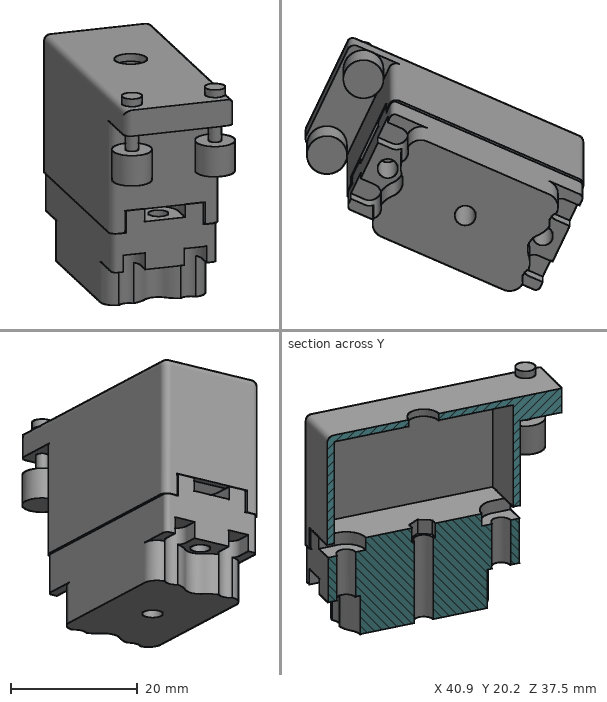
import cadquery as cq
import math


plug_height = 6.8
shoulder_z = 13.3
notch_height = 3.68
insert_top_z = shoulder_z + notch_height
total_height = 37.52
head_height = 1.27
hood_top_z = total_height - head_height
ledge_thickness = 4.35
ledge_bottom_z = hood_top_z - ledge_thickness

hood_length = 33.65
hood_width = 18.17
total_length = 40.87
edge_radius = 1.18
wall = 1.27
access_hole_diameter = 5.2
notch_width = 13.4
hood_end_x = hood_length / 2
ledge_end_x = total_length - hood_end_x
cavity_length = hood_length - 2 * wall
cavity_width = hood_width - 2 * wall

total_width = 20.24
knob_diameter = 6.35
knob_bottom_z = 23.54
knob_height = 5.05
shank_diameter = 2.08
head_diameter = 3.25
screw_x = ledge_end_x - knob_diameter / 2
screw_y = (total_width - knob_diameter) / 2

insert_length = 33.35
insert_width = 17.45
insert_corner_radius = 0.8
tab_width = 12.85
insert_end_x = insert_length / 2

plug_length = 25.95
plug_corner_radius = 2.35
lobe_radius = 4.8
lobe_start_y = 4.94
lobe_angle = 42.0
plug_end_x = plug_length / 2

jack_inset = 3.2
jack_x = insert_end_x - jack_inset
jack_hole_diameter = 3.2
jack_recess_radius = 3.37
jack_recess_floor_z = 14.8
end_notch_reach = 2.4

groove_y = 5.13
groove_radius = 1.86
groove_inset = 2.38
groove_top_z = 9.57

bore_diameter = 3.3
nut_across_flats = 4.0
nut_depth = 2.5


def block(x_min, x_max, width, z_min, z_max):
    """Box between the given X and Z limits, centred on Y = 0."""
    size = (x_max - x_min, width, z_max - z_min)
    return cq.Workplane("XY").box(*size, centered=(False, True, False)).translate((x_min, 0, z_min))


def cylinder(diameter, x, y, z_min, z_max):
    """Vertical cylinder between two heights."""
    return cq.Workplane("XY", origin=(x, y, z_min)).circle(diameter / 2).extrude(z_max - z_min)


def end_slot(end, axis_inset, y, radius, z_min, z_max):
    """Round-bottomed slot cut into one end (+1 or -1) of the insert."""
    axis_x = end * (insert_end_x - axis_inset)
    outer_x = end * insert_end_x
    straight = block(min(axis_x, outer_x), max(axis_x, outer_x), 2 * radius, z_min, z_max)
    return straight.translate((0, y, 0)).union(cylinder(2 * radius, axis_x, y, z_min, z_max))


def thumbscrew(y):
    """Head, shank and knob of one screw of the ledge."""
    head = cylinder(head_diameter, screw_x, y, hood_top_z, total_height)
    shank = cylinder(shank_diameter, screw_x, y, knob_bottom_z, total_height)
    knob = cylinder(knob_diameter, screw_x, y, knob_bottom_z, knob_bottom_z + knob_height)
    return shank.union(head).union(knob)


def hood_outside():
    """Rounded box with a ledge; every top edge but the ledge's end is rounded."""
    body = block(-hood_end_x, hood_end_x, hood_width, shoulder_z, hood_top_z)
    ledge = block(-hood_end_x, ledge_end_x, hood_width, ledge_bottom_z, hood_top_z)
    outside = body.edges("|Z").fillet(edge_radius).union(ledge.edges("|Z").fillet(edge_radius))
    cover_end_x = ledge_end_x + 2 * edge_radius
    cover = block(-hood_end_x, cover_end_x, hood_width, shoulder_z, hood_top_z)
    cover = cover.edges("|Z and <X").fillet(edge_radius)
    cover = cover.faces(">Z").edges("not >X").fillet(edge_radius)
    return outside.intersect(cover)


def make_hood():
    hood = hood_outside()
    hood = hood.cut(block(-cavity_length / 2, cavity_length / 2, cavity_width, shoulder_z, hood_top_z - wall))
    hood = hood.cut(block(-hood_end_x, hood_end_x, notch_width, shoulder_z, insert_top_z))
    hood = hood.cut(cylinder(access_hole_diameter, 0, 0, insert_top_z, hood_top_z))
    for side in (-1, 1):
        hood = hood.union(thumbscrew(side * screw_y))
    return hood


def plug():
    """Plug with rounded corners and a three-curve wave across each end."""
    half_width = insert_width / 2
    corner_x = plug_end_x - plug_corner_radius
    corner_y = half_width - plug_corner_radius
    diagonal = plug_corner_radius * math.sqrt(0.5)
    notch_bottom_x = jack_x - end_notch_reach

    def lobe_point(angle):
        turn = math.radians(angle)
        return (plug_end_x - lobe_radius * (1 - math.cos(turn)), lobe_start_y - lobe_radius * math.sin(turn))

    middle = lobe_point(lobe_angle / 2)
    crest = lobe_point(lobe_angle)
    half = (
        cq.Workplane("XY")
        .moveTo(0, half_width)
        .lineTo(corner_x, half_width)
        .threePointArc((corner_x + diagonal, corner_y + diagonal), (plug_end_x, corner_y))
        .lineTo(plug_end_x, lobe_start_y)
        .threePointArc(middle, crest)
        .threePointArc((notch_bottom_x, 0), (crest[0], -crest[1]))
        .threePointArc((middle[0], -middle[1]), (plug_end_x, -lobe_start_y))
        .lineTo(plug_end_x, -corner_y)
        .threePointArc((corner_x + diagonal, -corner_y - diagonal), (corner_x, -half_width))
        .lineTo(0, -half_width)
        .close()
        .extrude(plug_height)
    )
    return half.union(half.mirror("YZ"))


def make_insert():
    flange = block(-insert_end_x, insert_end_x, insert_width, plug_height, shoulder_z)
    flange = flange.edges("|Z").fillet(insert_corner_radius)
    core = block(-cavity_length / 2, cavity_length / 2, cavity_width, shoulder_z, insert_top_z)
    tabs = block(-insert_end_x, insert_end_x, tab_width, shoulder_z, insert_top_z)
    insert = flange.union(plug()).union(core).union(tabs)
    for end in (-1, 1):
        insert = insert.cut(
            end_slot(end, jack_inset, 0, jack_recess_radius, jack_recess_floor_z, insert_top_z)
        )
        insert = insert.cut(cylinder(jack_hole_diameter, end * jack_x, 0, 0, insert_top_z))
        for side in (-1, 1):
            insert = insert.cut(end_slot(end, groove_inset, side * groove_y, groove_radius, 0, groove_top_z))
    insert = insert.cut(cylinder(bore_diameter, 0, 0, 0, insert_top_z))
    nut_pocket = (
        cq.Workplane("XY", origin=(0, 0, insert_top_z - nut_depth))
        .polygon(6, nut_across_flats, circumscribed=True)
        .extrude(nut_depth)
    )
    return insert.cut(nut_pocket)


hood = make_hood()
insert = make_insert()

result = cq.Compound.makeCompound([hood.solids().val(), insert.solids().val()])